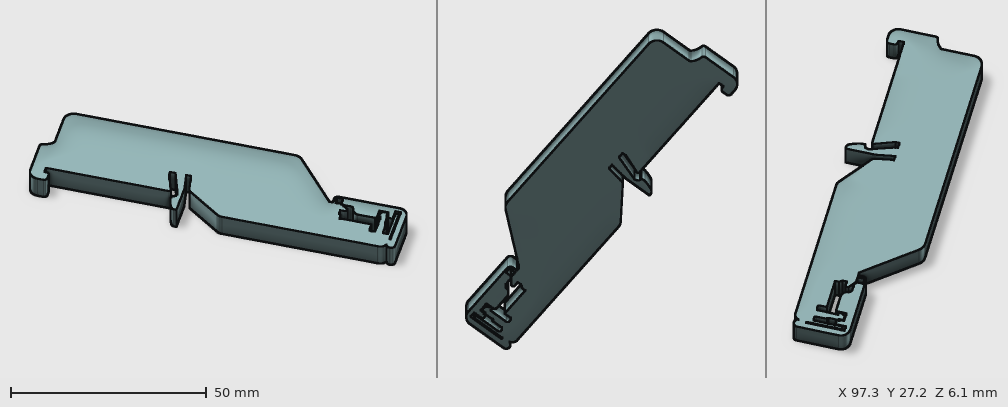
import cadquery as cq
import math

length = 97.3
width = 27.2
thickness = 6.1

base_y = 0.6
rail_y = 6.1
shoulder_y = 13.1
plate_left = 3.4
plate_corner_radius = 2.7
slope_top_x = 65.2
slope_bottom_x = 76.9
slope_radius = 2.9
ramp_top_x = 41.3
ramp_top_y = 7.6
ramp_top_radius = 1.2
ramp_bottom_x = 51.0
ramp_bottom_radius = 2.4

step_low_y = 14.2
step_high_y = 15.9
step_sag = 0.4
step_edge_radius = 0.7

hook_bottom_y = 1.8
hook_tip_x = 5.1
hook_tip_y = 4.7
hook_throat_x = 3.7
hook_nose_radius = 0.9
hook_heel_radius = 2.6

notch_x = 95.1
notch_top_y = 1.85
notch_lead_x = 93.0
notch_lead_bulge = 0.44
notch_foot_x = 96.0
notch_foot_bulge = 0.24
latch_foot_y = 0.9
latch_foot_radius = 1.1

slot_top_y = 12.9
left_slot_x = 34.7
left_slot_bend_y = 11.9
rail_end_x = 36.9
rail_end_radius = 0.4
right_slot_x = 40.3
foot_root_left = 36.2
foot_root_right = 39.0
foot_back_x = 39.9
foot_bend_y = 7.8
foot_neck_x = 38.6
foot_neck_y = 5.9
foot_undercut_x = 37.9
foot_catch_x = 37.4
foot_catch_y = 4.7
foot_side_y = 3.5
foot_tip_x = 39.3
foot_tip_bulge = 0.15
foot_lower_x = 38.3
foot_lower_y = 0.7
foot_side_bulge = 0.1
foot_neck_bulge = 0.2

latch_left = 77.7
latch_top_y = 15.5
latch_left_radius = 1.1
latch_right_radius = 2.5
window_left = 78.4
window_right = 80.0
window_top_y = 15.0

pocket_floor_y = 7.9
arm_root_y = 12.8
arm_low_y = 10.4
slit_width = 0.2
arm_root_left = 80.7
arm_root_right = 82.6
arm_curve_x = 83.5
arm_curve_y = 11.8
arm_curve_bulge = 0.3
arm_low_left = 85.0
arm_low_right = 89.7
recess_corner = 0.4
catch_tip_x = 82.0
catch_tip_y = 11.7
catch_tip_radius = 0.4
catch_under_y = 10.8
catch_back_x = 80.4
catch_back_y = 9.7
catch_base_x = 81.0
catch_base_y = 9.0

post_floor_y = 5.5
post_floor_radius = 0.5
post_slot_left = 89.4
recess_left = arm_low_right + recess_corner
recess_top_y = 13.2
face_gap = 0.2
post_left = 91.0
post_right = 92.6
post_foot_right = 93.0
post_taper_top_y = 9.1
post_taper_bottom_y = 8.4
barb_bottom_y = 11.2
barb_tip_x = recess_left + face_gap
barb_tip_y = 11.8
post_top_left = 91.0
tooth_left = 92.5
tooth_step_y = 12.1
tooth_step = 0.3

tooth_right = 94.1
tooth_bottom_y = 11.3
blade_left = 94.4
blade_right = 95.3
blade_top_y = 13.2
blade_recess_right = 95.5
blade_recess_top_y = 14.1
blade_slot_floor_y = 4.0


def prism(path):
    """Close a path in XY and extrude it over the full thickness."""
    return path.close().extrude(thickness)


def box(x_min, y_min, x_max, y_max):
    corners = [(x_min, y_min), (x_max, y_min), (x_max, y_max), (x_min, y_max)]
    return prism(cq.Workplane("XY").polyline(corners))


def round_corner(solid, x, y, radius):
    """Fillet the upright edge that stands at (x, y)."""
    at_corner = cq.selectors.NearestToPointSelector((x, y, thickness / 2))
    return solid.edges("|Z").edges(at_corner).fillet(radius)


def bulged(start, end, bulge):
    """Middle point of an arc that bows by bulge to the right of the way from start to end."""
    dx = end[0] - start[0]
    dy = end[1] - start[1]
    chord = math.hypot(dx, dy)
    return (
        (start[0] + end[0]) / 2 + bulge * dy / chord,
        (start[1] + end[1]) / 2 - bulge * dx / chord,
    )


def arc_to(path, start, end, bulge):
    """Continue a path from start to end by an arc bowed to the right of its direction."""
    return path.threePointArc(bulged(start, end, bulge), end)


def make_plate():
    """Full outline without the spring foot, with its latch block still solid."""
    step_low = (0, step_low_y)
    step_high = (plate_left, step_high_y)
    notch_foot = (notch_foot_x, latch_foot_y)
    notch_top = (notch_x, notch_top_y)
    notch_lead = (notch_lead_x, base_y)

    path = cq.Workplane("XY").moveTo(*step_low)
    path = arc_to(path, step_low, step_high, step_sag)
    path = (
        path
        .lineTo(plate_left, width)
        .lineTo(slope_top_x, width)
        .lineTo(slope_bottom_x, shoulder_y)
        .lineTo(latch_left, shoulder_y)
        .lineTo(latch_left, latch_top_y)
        .lineTo(length, latch_top_y)
        .lineTo(length, latch_foot_y)
        .lineTo(*notch_foot)
    )
    path = arc_to(path, notch_foot, notch_top, -notch_foot_bulge)
    path = arc_to(path, notch_top, notch_lead, -notch_lead_bulge)
    path = (
        path
        .lineTo(ramp_bottom_x, base_y)
        .lineTo(ramp_top_x, ramp_top_y)
        .lineTo(right_slot_x, slot_top_y)
        .lineTo(left_slot_x, slot_top_y)
        .lineTo(left_slot_x, left_slot_bend_y)
        .lineTo(rail_end_x, rail_y)
        .lineTo(hook_throat_x, rail_y)
        .lineTo(hook_throat_x, hook_tip_y)
        .lineTo(hook_tip_x, hook_tip_y)
        .lineTo(hook_tip_x, hook_bottom_y)
        .lineTo(0, hook_bottom_y)
    )
    plate = prism(path)

    rounded_corners = [
        (plate_left, width, plate_corner_radius),
        (slope_top_x, width, slope_radius),
        (ramp_top_x, ramp_top_y, ramp_top_radius),
        (ramp_bottom_x, base_y, ramp_bottom_radius),
        (rail_end_x, rail_y, rail_end_radius),
        (0, step_low_y, step_edge_radius),
        (plate_left, step_high_y, step_edge_radius),
        (0, hook_bottom_y, hook_heel_radius),
        (hook_tip_x, hook_tip_y, hook_nose_radius),
        (hook_tip_x, hook_bottom_y, hook_nose_radius),
        (latch_left, latch_top_y, latch_left_radius),
        (length, latch_top_y, latch_right_radius),
        (length, latch_foot_y, latch_foot_radius),
    ]
    for x, y, radius in rounded_corners:
        plate = round_corner(plate, x, y, radius)
    return plate


def make_spring_foot():
    """Foot hanging between the two slots, with a catch facing the rail hook."""
    neck = (foot_neck_x, foot_neck_y)
    undercut = (foot_undercut_x, foot_catch_y)
    side = (foot_catch_x, foot_side_y)
    lower = (foot_lower_x, foot_lower_y)
    tip = (foot_tip_x, 0)

    path = cq.Workplane("XY").moveTo(foot_root_left, slot_top_y).lineTo(*neck)
    path = arc_to(path, neck, undercut, -foot_neck_bulge)
    path = path.lineTo(foot_catch_x, foot_catch_y).lineTo(*side)
    path = arc_to(path, side, lower, foot_side_bulge)
    path = arc_to(path, lower, tip, foot_tip_bulge)
    path = (
        path
        .lineTo(foot_back_x, 0)
        .lineTo(foot_back_x, foot_bend_y)
        .lineTo(foot_root_right, slot_top_y)
    )
    return prism(path)


def make_window():
    return box(window_left, shoulder_y, window_right, window_top_y)


def make_pocket():
    """Space under the latch arm, joined to the window by a narrow slit."""
    arm_root = (arm_root_right, arm_root_y)
    arm_middle = (arm_curve_x, arm_curve_y)
    arm_low = (arm_low_left, arm_low_y)

    path = (
        cq.Workplane("XY")
        .moveTo(window_right, shoulder_y)
        .lineTo(catch_tip_x, catch_tip_y)
        .lineTo(catch_tip_x, catch_under_y)
        .lineTo(catch_back_x, catch_under_y)
        .lineTo(catch_back_x, catch_back_y)
        .lineTo(catch_base_x, catch_base_y)
        .lineTo(catch_base_x, pocket_floor_y)
        .lineTo(post_left, pocket_floor_y)
        .lineTo(post_left, arm_low_y + recess_corner)
        .lineTo(recess_left, arm_low_y + recess_corner)
        .lineTo(arm_low_right, arm_low_y)
        .lineTo(*arm_low)
    )
    path = arc_to(path, arm_low, arm_middle, -arm_curve_bulge)
    path = arc_to(path, arm_middle, arm_root, arm_curve_bulge)
    path = path.lineTo(arm_root_left, arm_root_y).lineTo(window_right, shoulder_y + slit_width)
    return round_corner(prism(path), catch_tip_x, catch_under_y, catch_tip_radius)


def make_post_slot(x_min, x_max, y_max):
    """Slot beside the post, with a rounded floor."""
    slot = box(x_min, post_floor_y, x_max, y_max)
    for x in (x_min, x_max):
        slot = round_corner(slot, x, post_floor_y, post_floor_radius)
    return slot


def make_post_head_clearance():
    """Clearance around the head of the post: recess in the arm minus the head."""
    recess = box(recess_left, pocket_floor_y, tooth_left, recess_top_y)
    widening = box(tooth_left, pocket_floor_y, tooth_left + tooth_step, tooth_step_y)
    head_top_y = recess_top_y - face_gap
    head_right = tooth_left - face_gap
    head = prism(cq.Workplane("XY").polyline([
        (post_left, pocket_floor_y),
        (post_left, barb_bottom_y),
        (barb_tip_x, barb_bottom_y),
        (barb_tip_x, barb_tip_y),
        (post_top_left, head_top_y),
        (head_right, head_top_y),
        (head_right, tooth_step_y - face_gap),
        (post_right, tooth_step_y - face_gap),
        (post_right, post_taper_top_y),
        (post_foot_right, post_taper_bottom_y),
        (post_foot_right, pocket_floor_y),
    ]))
    return recess.union(widening).cut(head)


def make_blade_clearance():
    """Gaps around the thin blade: beside the tooth, above the blade and along its back."""
    tooth_gap = box(tooth_right, tooth_bottom_y, blade_left, blade_recess_top_y)
    top_gap = box(tooth_right, blade_top_y, blade_recess_right, blade_recess_top_y)
    back_slot = box(blade_right, blade_slot_floor_y, blade_recess_right, blade_recess_top_y)
    return tooth_gap.union(top_gap).union(back_slot)


def make_right_post_slot():
    """Slot between post and blade, below the tooth; it narrows where the post widens."""
    slot = make_post_slot(post_foot_right, blade_left, tooth_bottom_y)
    upper_part = box(post_right, post_taper_top_y, blade_left, tooth_bottom_y)
    return slot.union(upper_part)


result = (
    make_plate()
    .union(make_spring_foot())
    .cut(make_window())
    .cut(make_pocket())
    .cut(make_post_slot(post_slot_left, post_left, arm_low_y))
    .cut(make_right_post_slot())
    .cut(make_post_head_clearance())
    .cut(make_blade_clearance())
)